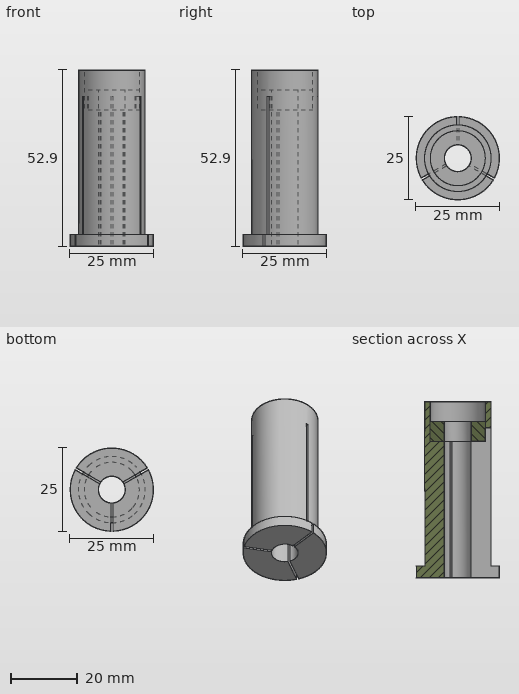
import cadquery as cq

LENGTH = 52.9
FLANGE_DIAMETER = 25.0
FLANGE_HEIGHT = 3.6
TUBE_DIAMETER = 20.0
HOLE_DIAMETER = 8.0

COUNTERBORE_DIAMETER = 16.5
COUNTERBORE_DEPTH = 11.95
OPEN_POCKET_DEPTH = 6.0
COUNTERBORE_FLOOR = LENGTH - COUNTERBORE_DEPTH
PLUG_HEIGHT = COUNTERBORE_DEPTH - OPEN_POCKET_DEPTH

SLIT_COUNT = 3
SLIT_WIDTH = 0.65
SLIT_TOP = 45.0
FIRST_SLIT_ANGLE = 90.0


def make_cylinder(diameter, height, bottom=0.0):
    """Solid cylinder on the Z axis."""
    return cq.Workplane("XY", origin=(0, 0, bottom)).circle(diameter / 2).extrude(height)


def make_slit(angle):
    """Radial slot from the axis through one side of the wall, from the bottom up."""
    return (
        cq.Workplane("XY")
        .box(FLANGE_DIAMETER, SLIT_WIDTH, SLIT_TOP, centered=(False, True, False))
        .rotate((0, 0, 0), (0, 0, 1), angle)
    )


def make_sleeve():
    """Flanged, counterbored tube split into fingers that join at the top."""
    flange = make_cylinder(FLANGE_DIAMETER, FLANGE_HEIGHT)
    tube = make_cylinder(TUBE_DIAMETER, LENGTH)
    hole = make_cylinder(HOLE_DIAMETER, LENGTH)
    counterbore = make_cylinder(COUNTERBORE_DIAMETER, COUNTERBORE_DEPTH, COUNTERBORE_FLOOR)
    sleeve = flange.union(tube).cut(hole).cut(counterbore)
    for index in range(SLIT_COUNT):
        angle = FIRST_SLIT_ANGLE + index * 360 / SLIT_COUNT
        sleeve = sleeve.cut(make_slit(angle))
    return sleeve


def make_plug():
    """Thick ring seated on the counterbore floor."""
    disc = make_cylinder(COUNTERBORE_DIAMETER, PLUG_HEIGHT, COUNTERBORE_FLOOR)
    hole = make_cylinder(HOLE_DIAMETER, PLUG_HEIGHT, COUNTERBORE_FLOOR)
    return disc.cut(hole)


sleeve = make_sleeve()
plug = make_plug()
result = cq.Compound.makeCompound([sleeve.val(), plug.val()])